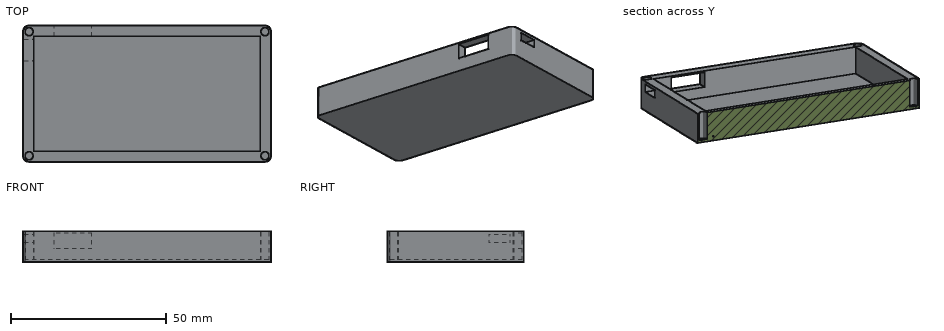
import cadquery as cq

LENGTH = 80.0
WIDTH = 44.0
HEIGHT = 10.0
CORNER_RADIUS = 2.0

WALL = 3.5
FLOOR = 1.0
CAVITY_DEPTH = HEIGHT - FLOOR

SCREW_HOLE_DIAMETER = 2.6
SCREW_HOLE_DEPTH = CAVITY_DEPTH

END_PORT_WIDTH = 6.8
END_PORT_CENTER_Y = 14.1
END_PORT_BOTTOM = 6.4
END_PORT_TOP = 9.0

SIDE_PORT_LENGTH = 12.0
SIDE_PORT_CENTER_X = -24.0
SIDE_PORT_BOTTOM = 4.5
SIDE_PORT_TOP = 9.5


def block(length, width, bottom, top, center_x=0.0, center_y=0.0):
    """Rectangular block between two heights, centred at the given X and Y."""
    return (
        cq.Workplane("XY", origin=(center_x, center_y, bottom))
        .rect(length, width)
        .extrude(top - bottom)
    )


def make_body():
    """Solid block with rounded vertical corners, standing on Z = 0."""
    return block(LENGTH, WIDTH, 0, HEIGHT).edges("|Z").fillet(CORNER_RADIUS)


def make_cavity():
    """Sharp-cornered pocket that leaves the walls and the floor."""
    return block(LENGTH - 2 * WALL, WIDTH - 2 * WALL, FLOOR, HEIGHT)


def make_screw_holes():
    """Four vertical holes, one in each corner, open at the rim."""
    return (
        cq.Workplane("XY", origin=(0, 0, HEIGHT))
        .rect(LENGTH - 2 * CORNER_RADIUS, WIDTH - 2 * CORNER_RADIUS, forConstruction=True)
        .vertices()
        .circle(SCREW_HOLE_DIAMETER / 2)
        .extrude(-SCREW_HOLE_DEPTH)
    )


def make_end_port():
    """Opening through the full thickness of the -X wall."""
    wall_center_x = -(LENGTH - WALL) / 2
    return block(WALL, END_PORT_WIDTH, END_PORT_BOTTOM, END_PORT_TOP, wall_center_x, END_PORT_CENTER_Y)


def make_side_port():
    """Opening through the full thickness of the +Y wall."""
    wall_center_y = (WIDTH - WALL) / 2
    return block(
        SIDE_PORT_LENGTH, WALL, SIDE_PORT_BOTTOM, SIDE_PORT_TOP, SIDE_PORT_CENTER_X, wall_center_y
    )


result = (
    make_body()
    .cut(make_cavity())
    .cut(make_screw_holes())
    .cut(make_end_port())
    .cut(make_side_port())
)